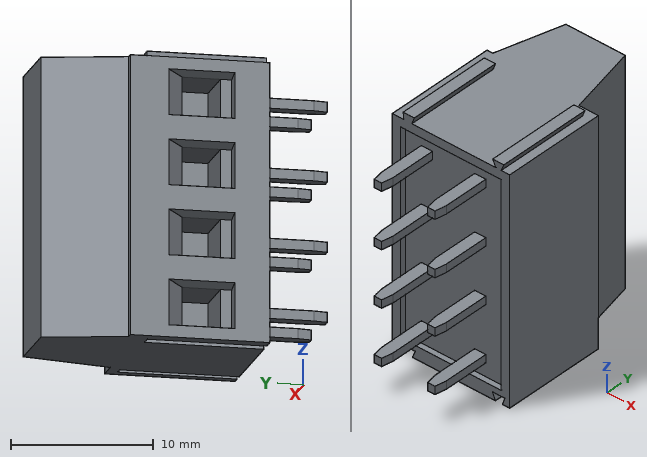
import cadquery as cq


width = 11.0
body_depth = 16.0
rib_height = 0.6
total_height = 20.92
body_height = total_height - rib_height
left_shoulder_y = 10.05
right_shoulder_y = 9.4
tower_foot_left_x = 0.55
tower_foot_right_x = 9.18
tower_end_left_x = 2.11
tower_end_right_x = 7.68

side_wall = 0.8
top_wall = 0.8
bottom_wall = 1.17
recess_depth = 0.5

pole_count = 4
pole_pitch = 5.08
first_pin_z = 2.75
pin_zs = [first_pin_z + i * pole_pitch for i in range(pole_count)]

pin_xs = (2.8, 7.8)
pin_length = 4.69
pin_width = 1.05
pin_thickness = 0.73
tip_width = 0.7
tip_length = 1.0

entry_drop = 0.2
mouth_front_y = 2.53
mouth_rear_y = 7.28
mouth_height = 3.33
tunnel_front_y = 3.33
tunnel_rear_y = 6.09
tunnel_height = 2.76
funnel_depth = 1.0
tunnel_depth = 5.0

dovetail_length = 8.6
groove_depth = 0.65
rib_sections = (
    (1.07, 1.85, 1.03, 2.07),
    (9.7, 10.2, 9.41, 10.45),
)
groove_sections = (
    (1.0, 1.88, 0.71, 2.15),
    (9.67, 10.31, 9.4, 10.55),
)


def box(x0, x1, y0, y1, z0, z1):
    """Box between opposite corner coordinates."""
    return cq.Workplane("XY").box(x1 - x0, y1 - y0, z1 - z0, centered=False).translate((x0, y0, z0))


def make_housing():
    """Stepped, tapering outline extruded over all poles, with the pin-side recess."""
    outline = [
        (0, 0),
        (width, 0),
        (width, right_shoulder_y),
        (tower_foot_right_x, right_shoulder_y),
        (tower_end_right_x, body_depth),
        (tower_end_left_x, body_depth),
        (tower_foot_left_x, left_shoulder_y),
        (0, left_shoulder_y),
    ]
    housing = cq.Workplane("XY").polyline(outline).close().extrude(body_height)
    recess = box(side_wall, width - side_wall, 0, recess_depth, bottom_wall, body_height - top_wall)
    return housing.cut(recess)


def make_dovetail(section, base_z, height):
    """Dovetail bar standing on base_z and running back from the pin side."""
    base_left, base_right, wide_left, wide_right = section
    outline = [
        (base_left, base_z),
        (base_right, base_z),
        (wide_right, base_z + height),
        (wide_left, base_z + height),
    ]
    return cq.Workplane("XZ").polyline(outline).close().extrude(-dovetail_length)


def make_pin(x, z):
    """Flat pin rooted in the recess floor, tapering in X at its tip."""
    half_width = pin_width / 2
    half_tip = tip_width / 2
    taper_y = tip_length - pin_length
    outline = [
        (x - half_width, recess_depth),
        (x - half_width, taper_y),
        (x - half_tip, -pin_length),
        (x + half_tip, -pin_length),
        (x + half_width, taper_y),
        (x + half_width, recess_depth),
    ]
    pin = cq.Workplane("XY").polyline(outline).close().extrude(pin_thickness)
    return pin.translate((0, 0, z - pin_thickness / 2))


def make_wire_entry(z):
    """Funnel narrowing on three sides, ending at a ledge and a straight square tunnel."""
    mouth_depth = mouth_rear_y - mouth_front_y
    funnel_end_depth = tunnel_rear_y - mouth_front_y
    funnel = (
        cq.Workplane("YZ")
        .center((mouth_front_y + mouth_rear_y) / 2, z)
        .rect(mouth_depth, mouth_height)
        .workplane(offset=funnel_depth)
        .center((tunnel_rear_y - mouth_rear_y) / 2, 0)
        .rect(funnel_end_depth, tunnel_height)
        .loft(ruled=True)
    )
    half_height = tunnel_height / 2
    tunnel = box(0, tunnel_depth, tunnel_front_y, tunnel_rear_y, z - half_height, z + half_height)
    return funnel.union(tunnel)


result = make_housing()

for rib_section in rib_sections:
    result = result.union(make_dovetail(rib_section, body_height, rib_height))

for groove_section in groove_sections:
    result = result.cut(make_dovetail(groove_section, 0, groove_depth))

for pin_z in pin_zs:
    result = result.cut(make_wire_entry(pin_z - entry_drop))
    for pin_x in pin_xs:
        result = result.union(make_pin(pin_x, pin_z))